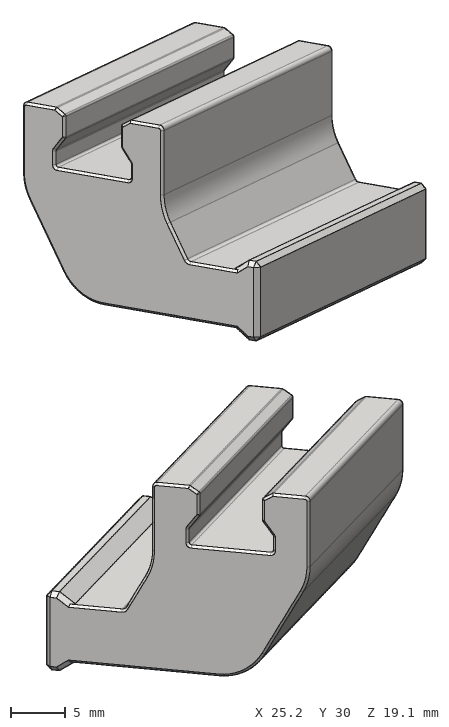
import cadquery as cq
import math

width = 25.17
length = 30.0
height = 19.05

channel_width = 15.0
slot_width = 8.05
slot_depth = 5.7
lip_gap = 5.95
lip_bevel_width = 1.0
lip_bevel_height = 0.6
lip_bottom_depth = 2.75
undercut_depth = 4.1

slant_angle = math.radians(60)
outer_bend_z = 10.98
inner_root_x = 17.65
bend_radius = 5.0
root_radius = 0.42
top_radius = 0.45
slot_corner_radius = 0.25

flange_height = 7.6
flange_tip_width = 1.23
flange_slope_width = 1.5
flange_overhang = 1.02

end_chamfer = 0.25
flange_chamfer = 0.48

arm_bottom = flange_overhang
arm_top = flange_height - flange_overhang
flange_shoulder_x = width - flange_tip_width
slot_center = channel_width / 2
outer_corner_x = (outer_bend_z - arm_bottom) / math.tan(slant_angle)
inner_bend_z = arm_top + (inner_root_x - channel_width) * math.tan(slant_angle)


def slot_side(side):
    """Slot wall from the channel top down to the floor; side is -1 (left) or 1 (right)."""
    lip_x = slot_center + side * lip_gap / 2
    mouth_x = lip_x + side * lip_bevel_width
    wall_x = slot_center + side * slot_width / 2
    return [
        (mouth_x, height),
        (lip_x, height - lip_bevel_height),
        (lip_x, height - lip_bottom_depth),
        (wall_x, height - undercut_depth),
        (wall_x, height - slot_depth),
    ]


def extrude_along_y(points):
    """Prism of an XZ outline, centred on Y = 0."""
    return cq.Workplane("XZ").polyline(points).close().extrude(length / 2, both=True)


def fillet_corners(solid, corners, radius):
    """Round the lengthwise edges that pass through the given XZ corners."""
    for x, z in corners:
        solid = solid.edges(cq.selectors.NearestToPointSelector((x, 0, z))).fillet(radius)
    return solid


def make_body():
    """Channel, neck and arm, with chamfered ends."""
    top_corners = [(0, height), (channel_width, height)]
    bend_corners = [(0, outer_bend_z), (outer_corner_x, arm_bottom), (channel_width, inner_bend_z)]
    root_corner = (inner_root_x, arm_top)
    left_slot_side = slot_side(-1)
    right_slot_side = slot_side(1)
    outline = [
        top_corners[0],
        *left_slot_side,
        *reversed(right_slot_side),
        top_corners[1],
        bend_corners[2],
        root_corner,
        (flange_shoulder_x, arm_top),
        (flange_shoulder_x, arm_bottom),
        bend_corners[1],
        bend_corners[0],
    ]
    body = extrude_along_y(outline)
    body = fillet_corners(body, bend_corners, bend_radius)
    body = fillet_corners(body, top_corners, top_radius)
    body = fillet_corners(body, [root_corner], root_radius)
    body = fillet_corners(body, left_slot_side + right_slot_side, slot_corner_radius)
    return body.faces("<Y or >Y").chamfer(end_chamfer)


def make_flange():
    """Flared flange; its slopes run on into the arm so that the two solids overlap."""
    inner_x = flange_shoulder_x - 2 * flange_slope_width
    inner_rise = 2 * flange_overhang
    outline = [
        (width, 0),
        (width, flange_height),
        (flange_shoulder_x, flange_height),
        (inner_x, flange_height - inner_rise),
        (inner_x, inner_rise),
        (flange_shoulder_x, 0),
    ]
    flange = extrude_along_y(outline)
    outer_edges = flange.faces("<Y or >Y or >X").edges()
    return outer_edges.chamfer(flange_chamfer)


result = make_body().union(make_flange())